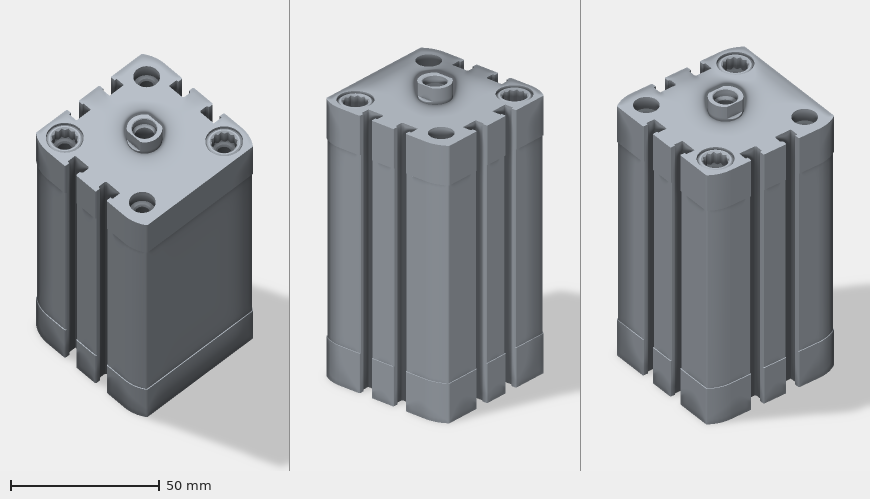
import cadquery as cq
import math

TOTAL_HEIGHT = 111.1
BODY_WIDTH = 54.5
BODY_HEIGHT = 105.0
CAP_HEIGHT = 15.0
BARREL_INSET = 0.3
HALF_WIDTH = BODY_WIDTH / 2

SCREW_OFFSET = 19.0
CORNER_RADIUS = 13.9
CORNER_FILLET = 0.8

SLOT_NECK_INNER_WALL = 4.9
SLOT_NECK_OUTER_WALL = 10.1
SLOT_LIP = 2.0
SLOT_DEPTH = 5.5
SLOT_MOUTH_CHAMFER = 0.28
SLOT_OUTER_WALL = 11.0
WIDE_SLOT_INNER_WALL = 4.0
WIDE_SLOT_CHAMFER = 0.4
SIDE_SLOT_INNER_WALL = 4.3

SCREW_HOLE_DIAMETER = 4.9
COUNTERSINK_DIAMETER = 6.0
COUNTERBORE_DIAMETER = 9.0
COUNTERBORE_DEPTH = 4.9

COLLAR_RECESS_DIAMETER = 12.8
COLLAR_RECESS_DEPTH = 1.1
COLLAR_DIAMETER = 11.9
COLLAR_DROP = 0.3
COLLAR_CHAMFER = 0.5
COLLAR_MOUTH_DIAMETER = 9.8
COLLAR_MOUTH_SLOPE = 45.0
SOCKET_POINT_DIAMETER = 9.2
SOCKET_FLOOR_DIAMETER = 8.2
SOCKET_DEPTH = 5.5
HEXAGON_SIDES = 6

ROD_DIAMETER = 12.0
ROD_BOTTOM = BODY_HEIGHT - CAP_HEIGHT
FLAT_WIDTH = 10.0
FLAT_HEIGHT = 5.0
FLAT_RUNOUT = 0.4
ROD_MOUTH_DIAMETER = 9.0
ROD_COUNTERBORE_DIAMETER = 8.4
ROD_COUNTERBORE_DEPTH = 3.0
ROD_HOLE_DIAMETER = 6.7
ROD_HOLE_DEPTH = 13.3
DRILL_TIP_ANGLE = 118.0


def body_outline(inset, bottom, height):
    """Square prism with bulged, softened corners on the +Y and -Y sides, shrunk by an inset."""
    side = HALF_WIDTH - inset
    arc_centre = side - CORNER_RADIUS
    run = side - SCREW_OFFSET
    end_y = arc_centre + math.sqrt(CORNER_RADIUS**2 - run**2)
    middle_x = SCREW_OFFSET + run / 2
    middle_y = arc_centre + math.sqrt(CORNER_RADIUS**2 - (run / 2) ** 2)
    outline = (
        cq.Workplane("XY", origin=(0, 0, bottom))
        .moveTo(-SCREW_OFFSET, -side)
        .lineTo(SCREW_OFFSET, -side)
        .threePointArc((middle_x, -middle_y), (side, -end_y))
        .lineTo(side, end_y)
        .threePointArc((middle_x, middle_y), (SCREW_OFFSET, side))
        .lineTo(-SCREW_OFFSET, side)
        .threePointArc((-middle_x, middle_y), (-side, end_y))
        .lineTo(-side, -end_y)
        .threePointArc((-middle_x, -middle_y), (-SCREW_OFFSET, -side))
        .close()
        .extrude(height)
    )
    return outline.edges("|Z and (<X or >X)").fillet(CORNER_FILLET)


def t_slot(inset, inner_wall, inner_chamfer):
    """Full-height T-slot in the +Y side on the +X half, its mouth chamfered at the inset face."""
    floor = HALF_WIDTH - SLOT_DEPTH
    lip = HALF_WIDTH - SLOT_LIP
    face = HALF_WIDTH - inset
    chamber = (
        cq.Workplane("XY")
        .moveTo(inner_wall, floor)
        .lineTo(SLOT_OUTER_WALL, floor)
        .lineTo(SLOT_OUTER_WALL, lip)
        .lineTo(inner_wall, lip)
        .close()
        .extrude(BODY_HEIGHT)
    )
    if inner_chamfer:
        chamber = chamber.edges("|Z and <X").chamfer(inner_chamfer)

    neck = (
        cq.Workplane("XY")
        .moveTo(SLOT_NECK_INNER_WALL, floor)
        .lineTo(SLOT_NECK_OUTER_WALL, floor)
        .lineTo(SLOT_NECK_OUTER_WALL, face - SLOT_MOUTH_CHAMFER)
        .lineTo(SLOT_NECK_OUTER_WALL + SLOT_MOUTH_CHAMFER, face)
        .lineTo(SLOT_NECK_INNER_WALL - SLOT_MOUTH_CHAMFER, face)
        .lineTo(SLOT_NECK_INNER_WALL, face - SLOT_MOUTH_CHAMFER)
        .close()
        .extrude(BODY_HEIGHT)
    )
    return chamber.union(neck)


def body_section(inset, bottom, height):
    """One length of the slotted body: two slots each in the +Y, -Y and -X sides."""
    section = body_outline(inset, bottom, height)
    wide_slot = t_slot(inset, WIDE_SLOT_INNER_WALL, WIDE_SLOT_CHAMFER)
    side_slot = t_slot(inset, SIDE_SLOT_INNER_WALL, 0).rotate((0, 0, 0), (0, 0, 1), 90)
    for slot in (wide_slot, wide_slot.mirror("XZ")):
        section = section.cut(slot).cut(slot.mirror("YZ"))
    return section.cut(side_slot).cut(side_slot.mirror("XZ"))


def turned(profile):
    """Solid of revolution about Z from (radius, height) points, closed along the axis."""
    return cq.Workplane("XZ").polyline(profile).close().revolve(360, (0, 0), (0, 1))


def screw_hole(floor):
    """Through hole, countersunk where it opens into a wider bore with its floor at a given height."""
    hole = SCREW_HOLE_DIAMETER / 2
    sink = COUNTERSINK_DIAMETER / 2
    return turned([(0, 0), (hole, 0), (hole, floor - (sink - hole)), (sink, floor), (0, floor)])


def plain_hole():
    """Screw hole with a round counterbore at the top face."""
    floor = BODY_HEIGHT - COUNTERBORE_DEPTH
    counterbore = (
        cq.Workplane("XY", origin=(0, 0, floor))
        .circle(COUNTERBORE_DIAMETER / 2)
        .extrude(COUNTERBORE_DEPTH)
    )
    return screw_hole(floor).union(counterbore)


def socket():
    """Twelve-point socket: two hexagonal prisms turned 30 degrees apart, over a coned floor."""
    floor = BODY_HEIGHT - SOCKET_DEPTH
    top = BODY_HEIGHT - COLLAR_DROP
    hexagon = (
        cq.Workplane("XY", origin=(0, 0, floor))
        .polygon(HEXAGON_SIDES, SOCKET_POINT_DIAMETER)
        .extrude(top - floor)
    )
    points = SOCKET_POINT_DIAMETER / 2
    floor_edge = SOCKET_FLOOR_DIAMETER / 2
    envelope = turned(
        [
            (0, floor),
            (floor_edge, floor),
            (points, floor + points - floor_edge),
            (points, top),
            (0, top),
        ]
    )
    turned_hexagon = hexagon.rotate((0, 0, 0), (0, 0, 1), 180 / HEXAGON_SIDES)
    return hexagon.union(turned_hexagon).intersect(envelope)


def collar_recess():
    """Material removed around and above a chamfered collar that stands in a corner recess."""
    mouth = COLLAR_MOUTH_DIAMETER / 2
    collar = COLLAR_DIAMETER / 2
    recess = COLLAR_RECESS_DIAMETER / 2
    collar_top = BODY_HEIGHT - COLLAR_DROP
    recess_floor = BODY_HEIGHT - COLLAR_RECESS_DEPTH
    cone_height = mouth * math.tan(math.radians(COLLAR_MOUTH_SLOPE))
    return turned(
        [
            (0, collar_top - cone_height),
            (mouth, collar_top),
            (collar - COLLAR_CHAMFER, collar_top),
            (collar, collar_top - COLLAR_CHAMFER),
            (collar, recess_floor),
            (recess, recess_floor),
            (recess, BODY_HEIGHT),
            (0, BODY_HEIGHT),
        ]
    )


def collar_hole():
    """Screw hole under a collar with a twelve-point socket."""
    return screw_hole(BODY_HEIGHT - SOCKET_DEPTH).union(socket()).union(collar_recess())


def make_housing():
    housing = body_section(BARREL_INSET, CAP_HEIGHT, BODY_HEIGHT - 2 * CAP_HEIGHT)
    for cap_bottom in (0, BODY_HEIGHT - CAP_HEIGHT):
        housing = housing.union(body_section(0, cap_bottom, CAP_HEIGHT))

    for x in (-SCREW_OFFSET, SCREW_OFFSET):
        housing = housing.cut(plain_hole().translate((x, -x, 0)))
        housing = housing.cut(collar_hole().translate((x, x, 0)))

    rod_seat = cq.Workplane("XY", origin=(0, 0, ROD_BOTTOM)).circle(ROD_DIAMETER / 2).extrude(CAP_HEIGHT)
    return housing.cut(rod_seat)


def rod_flat():
    """Material removed for the wrench flat on the -Y side, with its sloping run-out."""
    radius = ROD_DIAMETER / 2
    flat = FLAT_WIDTH / 2
    flat_bottom = TOTAL_HEIGHT - FLAT_HEIGHT
    return (
        cq.Workplane("YZ")
        .moveTo(-flat, TOTAL_HEIGHT)
        .lineTo(-flat, flat_bottom)
        .lineTo(-radius, flat_bottom - FLAT_RUNOUT)
        .lineTo(-radius, TOTAL_HEIGHT)
        .close()
        .extrude(radius, both=True)
    )


def rod_hole():
    """Stepped blind hole in the rod end with a drill-point bottom."""
    mouth = ROD_MOUTH_DIAMETER / 2
    bore = ROD_COUNTERBORE_DIAMETER / 2
    hole = ROD_HOLE_DIAMETER / 2
    step = TOTAL_HEIGHT - ROD_COUNTERBORE_DEPTH
    bottom = TOTAL_HEIGHT - ROD_HOLE_DEPTH
    tip = hole / math.tan(math.radians(DRILL_TIP_ANGLE / 2))
    return turned(
        [
            (0, bottom - tip),
            (hole, bottom),
            (hole, step - (bore - hole)),
            (bore, step),
            (bore, TOTAL_HEIGHT - (mouth - bore)),
            (mouth, TOTAL_HEIGHT),
            (0, TOTAL_HEIGHT),
        ]
    )


def make_rod():
    length = TOTAL_HEIGHT - ROD_BOTTOM
    rod = cq.Workplane("XY", origin=(0, 0, ROD_BOTTOM)).circle(ROD_DIAMETER / 2).extrude(length)
    flat = rod_flat()
    return rod.cut(flat).cut(flat.mirror("XZ")).cut(rod_hole())


housing = make_housing()
piston_rod = make_rod()
result = cq.Compound.makeCompound([housing.val(), piston_rod.val()])